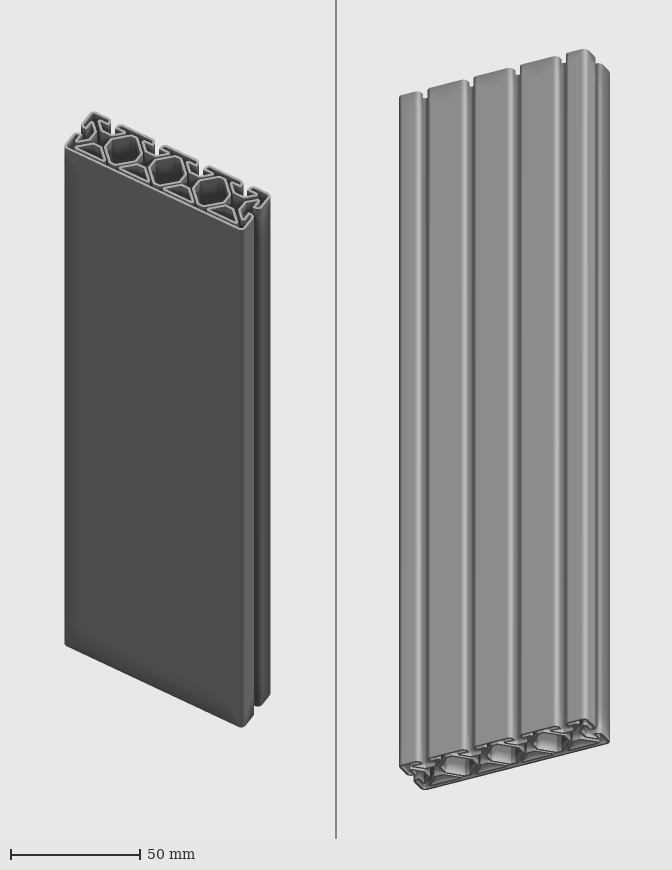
import cadquery as cq
WIDTH = 82.0
DEPTH = 22.0
LENGTH = 300.0
CORNER_RADIUS = 2.0

WALL = 1.0

SLOT_COUNT = 4
SLOT_SPAN = 60.0
PITCH = SLOT_SPAN / (SLOT_COUNT - 1)

MOUTH_WIDTH = 2.82
LIP_RADIUS = 2.0
LIP_THICKNESS = 3.3
WEB_THICKNESS = 9.0
SLOT_DEPTH = (DEPTH - WEB_THICKNESS) / 2
CHAMBER_DEPTH = SLOT_DEPTH - LIP_THICKNESS
FLOOR_WIDTH = 4.2

FACE_THICKNESS = 2.75
CAVITY_HEIGHT = 4.5
CAVITY_ROOF_WIDTH = 3.0

OCTAGON_WIDTH = 13.0
OCTAGON_HEIGHT = 15.0
OCTAGON_FLAT = 2.0


def evenly_spaced(count):
    """X positions of `count` features one pitch apart, centred on the middle."""
    return [(i - (count - 1) / 2) * PITCH for i in range(count)]


def prism(outline):
    """Extrude a closed outline over the full length, centred on the origin."""
    return outline.extrude(LENGTH).translate((0, 0, -LENGTH / 2))


def slot_cutter():
    """Slot open towards +Y, its mouth on the line Y = 0 and its floor below."""
    mouth = MOUTH_WIDTH / 2
    floor = FLOOR_WIDTH / 2
    shoulder = floor + CHAMBER_DEPTH
    outline = (
        cq.Workplane("XY")
        .moveTo(-mouth - LIP_RADIUS, 0)
        .radiusArc((-mouth, -LIP_RADIUS), LIP_RADIUS)
        .lineTo(-mouth, -LIP_THICKNESS)
        .lineTo(-shoulder, -LIP_THICKNESS)
        .lineTo(-floor, -SLOT_DEPTH)
        .lineTo(floor, -SLOT_DEPTH)
        .lineTo(shoulder, -LIP_THICKNESS)
        .lineTo(mouth, -LIP_THICKNESS)
        .lineTo(mouth, -LIP_RADIUS)
        .radiusArc((mouth + LIP_RADIUS, 0), LIP_RADIUS)
        .close()
    )
    return prism(outline)


def slotted_bar():
    """Rounded solid bar with all the open slots cut into its +Y, -X and +X faces."""
    bar = cq.Workplane("XY").box(WIDTH, DEPTH, LENGTH).edges("|Z").fillet(CORNER_RADIUS)
    for x in evenly_spaced(SLOT_COUNT):
        bar = bar.cut(slot_cutter().translate((x, DEPTH / 2, 0)))
    for side in (-1, 1):
        side_cutter = slot_cutter().rotate((0, 0, 0), (0, 0, 1), -90 * side)
        bar = bar.cut(side_cutter.translate((side * WIDTH / 2, 0, 0)))
    return bar


def outer_shell():
    """Wall that follows the whole outer contour, in and out of the slots."""
    bar = slotted_bar()
    inner_outline = bar.faces("<Z").wires().toPending().offset2D(-WALL)
    return bar.cut(inner_outline.extrude(LENGTH, combine=False))


def tube(bore_corners):
    """Tube whose bore has the given corners and whose wall lies outside the bore."""
    bore = cq.Workplane("XY").polyline(bore_corners).close()
    jacket = cq.Workplane("XY").polyline(bore_corners).close().offset2D(WALL)
    return prism(jacket).cut(prism(bore))


def octagon_tube(x):
    """Tube around one octagonal channel centred at the given X."""
    half_width = OCTAGON_WIDTH / 2
    half_height = OCTAGON_HEIGHT / 2
    half_flat = OCTAGON_FLAT / 2
    half_side = half_height - (half_width - half_flat)
    bore_corners = [
        (-half_width, -half_side),
        (-half_flat, -half_height),
        (half_flat, -half_height),
        (half_width, -half_side),
        (half_width, half_side),
        (half_flat, half_height),
        (-half_flat, half_height),
        (-half_width, half_side),
    ]
    return tube(bore_corners).translate((x, 0, 0))


def cavity_tube(x):
    """Tube around one closed dovetail cavity centred at the given X."""
    half_roof = CAVITY_ROOF_WIDTH / 2
    half_floor = half_roof + CAVITY_HEIGHT
    bore_corners = [
        (-half_floor, 0),
        (half_floor, 0),
        (half_roof, CAVITY_HEIGHT),
        (-half_roof, CAVITY_HEIGHT),
    ]
    return tube(bore_corners).translate((x, FACE_THICKNESS - DEPTH / 2, 0))


shell = outer_shell()
octagon_tubes = [octagon_tube(x) for x in evenly_spaced(SLOT_COUNT - 1)]
cavity_tubes = [cavity_tube(x) for x in evenly_spaced(SLOT_COUNT)]

result = cq.Compound.makeCompound(
    [
        shell.val(),
        *[body.val() for body in octagon_tubes],
        *[body.val() for body in cavity_tubes],
    ]
)